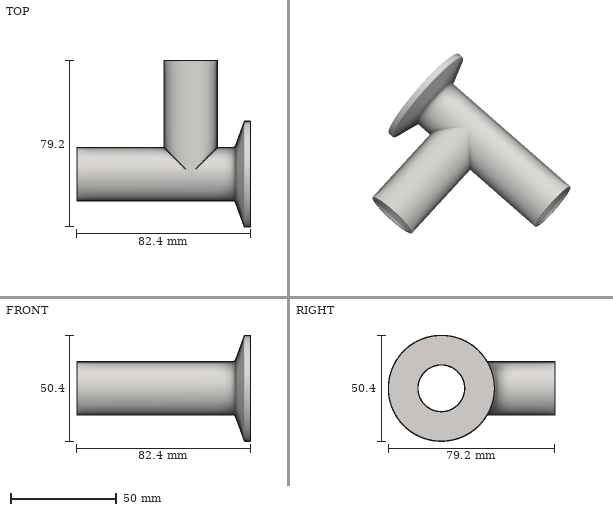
import cadquery as cq
import math

tube_diameter = 25.4
bore_diameter = 22.1
overall_length = 82.4
leg_length = 54.0
flange_face_x = overall_length - leg_length

flange_diameter = 50.35
rim_thickness = 2.9
rim_edge_radius = 0.5
cone_angle = 20.0
neck_fillet_radius = 1.1

tube_radius = tube_diameter / 2
flange_radius = flange_diameter / 2
rim_back_x = flange_face_x - rim_thickness
cone_length = (flange_radius - tube_radius) * math.tan(math.radians(cone_angle))
neck_x = rim_back_x - cone_length


def circle_at(x, radius):
    """Selector for the circular edge around X at the given position and radius."""
    reach = 0.1
    return cq.selectors.BoxSelector(
        (x - reach, -radius - reach, -radius - reach),
        (x + reach, radius + reach, radius + reach),
        boundingbox=True,
    )


def run_cylinder(diameter):
    """Full-length cylinder along X, from the open end to the flange face."""
    return cq.Workplane("YZ", origin=(-leg_length, 0, 0)).circle(diameter / 2).extrude(overall_length)


def branch_cylinder(diameter):
    """Cylinder along +Y, from the crossing to the branch end."""
    return cq.Workplane("XZ").circle(diameter / 2).extrude(-leg_length)


def flanged_run():
    """Run tube and clamp flange revolved as one solid profile about X."""
    profile = [
        (-leg_length, 0),
        (-leg_length, tube_radius),
        (neck_x, tube_radius),
        (rim_back_x, flange_radius),
        (flange_face_x, flange_radius),
        (flange_face_x, 0),
    ]
    body = cq.Workplane("XY").polyline(profile).close().revolve(360, (0, 0, 0), (1, 0, 0))
    body = body.edges(circle_at(neck_x, tube_radius)).fillet(neck_fillet_radius)
    for rim_edge_x in (rim_back_x, flange_face_x):
        body = body.edges(circle_at(rim_edge_x, flange_radius)).fillet(rim_edge_radius)
    return body


outside = flanged_run().union(branch_cylinder(tube_diameter))
bores = run_cylinder(bore_diameter).union(branch_cylinder(bore_diameter))
result = outside.cut(bores)